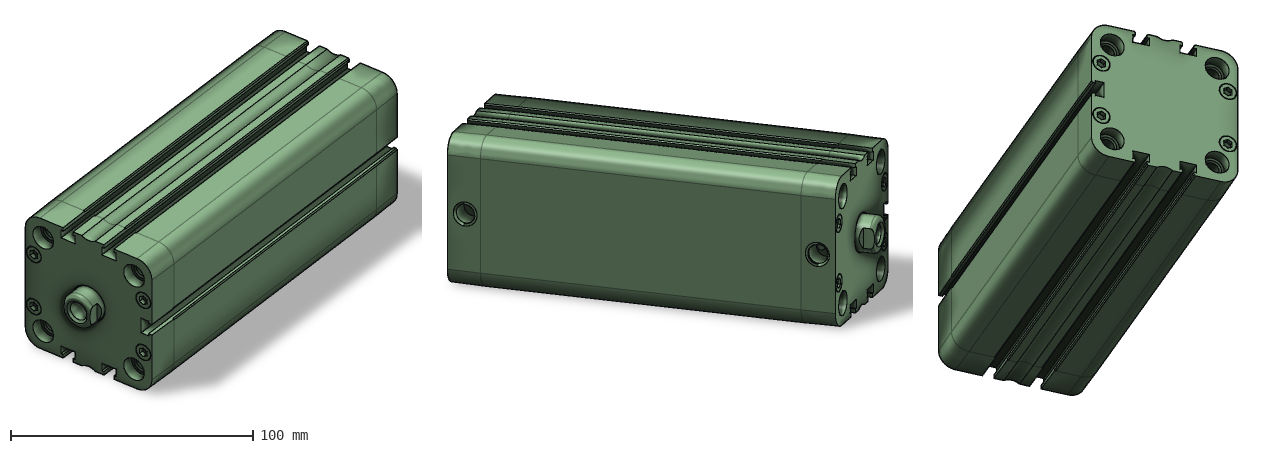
import cadquery as cq
import math


barrel_width = 65.5
housing_length = 170.0
front_cap_length = 15.0
rear_cap_length = 14.6
corner_radius = 7.8
cap_draft = 0.21
barrel_half = barrel_width / 2
barrel_length = housing_length - front_cap_length - rear_cap_length
rear_joint_y = housing_length - rear_cap_length

slot_offset = 10.5
slot_opening = 5.2
slot_width = 7.3
slot_depth = 5.7
slot_lip = 2.0
slot_edge_chamfer = 0.5
groove_width = 7.0
groove_depth = 1.0

mount_offset = 23.3
mount_diameter = 6.5
mount_chamfer = 0.7
mount_counterbore = 10.5
mount_counterbore_depth = 5.3

screw_x = 28.1
screw_z = 13.0
screw_recess = 7.7
screw_head = 7.3
screw_gap_depth = 0.9
socket_corners = 4.3
socket_depth = 2.1

port_to_end_face = 7.8
port_diameter = 8.4
port_mouth = 10.5
port_depth = 10.7
port_chamfer = (port_mouth - port_diameter) / 2
channel_diameter = 3.5
channel_shift = 2.1
channel_depth = 5.3

rod_diameter = 16.0
rod_protrusion = 8.0
rod_inner_length = front_cap_length
rod_tip_fillet = 2.0
rod_seat_chamfer = 0.5
flat_width = 13.4
flat_length = 5.0
thread_diameter = 8.4
thread_mouth = 10.5
thread_depth = 17.8
thread_bottom_flat = 3.5
thread_bottom_length = 1.5
thread_chamfer = (thread_mouth - thread_diameter) / 2


def xz_plane(y):
    """Plane across the cylinder axis at y, with local x = X, local y = Z and normal -Y."""
    return cq.Workplane("XZ", origin=(0, y, 0))


def t_slot(offset, length):
    """Cutter for a T-slot in the top, running from y = 0 to -length."""
    opening = xz_plane(0).center(offset, barrel_half - slot_depth / 2).rect(slot_opening, slot_depth)
    undercut_center = barrel_half - (slot_lip + slot_depth) / 2
    undercut = xz_plane(0).center(offset, undercut_center).rect(slot_width, slot_depth - slot_lip)
    return opening.extrude(length).union(undercut.extrude(length))


def follow_surface(outline, length, draft):
    """Cutter along the top surface: an outline at y = 0 that sinks by draft on its way to -length."""
    start = outline.wire().val()
    end = start.translate(cq.Vector(0, -length, -draft))
    return cq.Workplane(cq.Solid.makeLoft([start, end], True))


def slot_edge_outline(offset):
    """Flared mouth that chamfers both edges of a slot opening."""
    half_opening = slot_opening / 2
    half_mouth = half_opening + slot_edge_chamfer
    bottom = barrel_half - slot_edge_chamfer
    return xz_plane(0).polyline([
        (offset - half_mouth, barrel_half),
        (offset - half_opening, bottom),
        (offset + half_opening, bottom),
        (offset + half_mouth, barrel_half),
    ]).close()


def groove_outline():
    return (
        xz_plane(0)
        .moveTo(-groove_width / 2, barrel_half)
        .threePointArc((0, barrel_half - groove_depth), (groove_width / 2, barrel_half))
        .close()
    )


def profile_section(length, draft, chamfered_slots):
    """Length of the housing profile from y = 0 to -length, its outer faces drawn in by draft."""
    square = cq.Sketch().rect(barrel_width, barrel_width).vertices().fillet(corner_radius)
    taper = math.degrees(math.atan(draft / length))
    section = xz_plane(0).placeSketch(square).extrude(length, taper=taper)

    for offset, angle in (
        (-slot_offset, 0), (slot_offset, 0), (-slot_offset, 180), (slot_offset, 180), (0, 90),
    ):
        slot = t_slot(offset, length)
        if chamfered_slots:
            slot = slot.union(follow_surface(slot_edge_outline(offset), length, draft))
        section = section.cut(slot.rotate((0, 0, 0), (0, 1, 0), angle))

    groove = follow_surface(groove_outline(), length, draft)
    return section.cut(groove).cut(groove.mirror("XY"))


def chamfer_cone(mouth_center, direction, hole_diameter, chamfer):
    """Cutter for a 45-degree chamfer at the mouth of a hole that runs along direction."""
    return cq.Workplane(cq.Solid.makeCone(
        hole_diameter / 2 + chamfer, hole_diameter / 2, chamfer,
        cq.Vector(*mouth_center), cq.Vector(*direction),
    ))


def both_ends(front_cutter):
    """A front cutter together with its mirror image at the rear face."""
    return front_cutter.union(front_cutter.mirror("XZ", (0, housing_length / 2, 0)))


def mounting_hole_cutter():
    corners = [(x, z) for x in (-mount_offset, mount_offset) for z in (-mount_offset, mount_offset)]
    through = xz_plane(housing_length).pushPoints(corners).circle(mount_diameter / 2).extrude(housing_length)
    mouths = xz_plane(0).pushPoints(corners).circle(mount_counterbore / 2)
    mouths = mouths.extrude(-mount_counterbore_depth)
    for x, z in corners:
        mouths = mouths.union(chamfer_cone(
            (x, mount_counterbore_depth, z), (0, 1, 0), mount_diameter, mount_chamfer,
        ))
    return through.union(both_ends(mouths))


def screw_cutter():
    centers = [(x, z) for x in (-screw_x, screw_x) for z in (-screw_z, screw_z)]
    gaps = xz_plane(0).pushPoints(centers).circle(screw_recess / 2).circle(screw_head / 2)
    cutter = gaps.extrude(-screw_gap_depth)
    socket = xz_plane(0).transformed(rotate=(0, 0, 90)).polygon(6, socket_corners)
    socket = socket.extrude(-socket_depth)
    for x, z in centers:
        cutter = cutter.union(socket.translate((x, 0, z)))
    return both_ends(cutter)


def port_cutter(port_y, channel_y):
    """Chamfered blind port in the -X side, with a narrow air channel in its floor."""
    face_x = -barrel_half
    bore = cq.Workplane("YZ", origin=(face_x, port_y, 0)).circle(port_diameter / 2).extrude(port_depth)
    mouth = chamfer_cone((face_x + cap_draft / 2, port_y, 0), (1, 0, 0), port_diameter, port_chamfer)
    channel = (
        cq.Workplane("YZ", origin=(face_x + port_depth, channel_y, 0))
        .circle(channel_diameter / 2)
        .extrude(channel_depth)
    )
    return bore.union(mouth).union(channel)


def rod_seat_cutter():
    seat = xz_plane(0).circle(rod_diameter / 2).extrude(-rod_inner_length)
    return seat.union(chamfer_cone((0, 0, 0), (0, 1, 0), rod_diameter, rod_seat_chamfer))


def make_housing():
    front_cap = profile_section(front_cap_length, cap_draft, chamfered_slots=False)
    barrel = profile_section(barrel_length, 0, chamfered_slots=True)
    rear_cap = profile_section(rear_cap_length, cap_draft, chamfered_slots=True).mirror("XZ")
    body = barrel.translate((0, rear_joint_y, 0))
    body = body.union(front_cap.translate((0, front_cap_length, 0)))
    body = body.union(rear_cap.translate((0, rear_joint_y, 0)))
    body = body.cut(mounting_hole_cutter()).cut(screw_cutter())
    front_port_y = port_to_end_face
    rear_port_y = housing_length - port_to_end_face
    body = body.cut(port_cutter(front_port_y, front_port_y + channel_shift))
    body = body.cut(port_cutter(rear_port_y, rear_port_y - channel_shift))
    return body.cut(rod_seat_cutter())


def threaded_hole_cutter():
    """Chamfered bore in the rod tip with a conical, flat-ended bottom."""
    hole = xz_plane(-rod_protrusion).circle(thread_diameter / 2).extrude(-thread_depth)
    bottom = cq.Solid.makeCone(
        thread_diameter / 2, thread_bottom_flat / 2, thread_bottom_length,
        cq.Vector(0, thread_depth - rod_protrusion, 0), cq.Vector(0, 1, 0),
    )
    mouth = chamfer_cone((0, -rod_protrusion, 0), (0, 1, 0), thread_diameter, thread_chamfer)
    return hole.union(cq.Workplane(bottom)).union(mouth)


def wrench_flat_cutter():
    """Cutter for the flat on the +X side; the flat runs out at 45 degrees."""
    flat_x = flat_width / 2
    rod_radius = rod_diameter / 2
    flat_end_y = flat_length - rod_protrusion
    return (
        cq.Workplane("XY")
        .moveTo(flat_x, -rod_protrusion)
        .lineTo(flat_x, flat_end_y)
        .lineTo(rod_radius, flat_end_y + rod_radius - flat_x)
        .lineTo(rod_radius, -rod_protrusion)
        .close()
        .extrude(rod_radius, both=True)
    )


def make_rod():
    rod = xz_plane(rod_inner_length).circle(rod_diameter / 2).extrude(rod_inner_length + rod_protrusion)
    rod = rod.faces("<Y").edges().fillet(rod_tip_fillet)
    flat = wrench_flat_cutter()
    rod = rod.cut(flat).cut(flat.mirror("YZ"))
    return rod.cut(threaded_hole_cutter())


housing = make_housing()
piston_rod = make_rod()
result = cq.Compound.makeCompound([housing.val(), piston_rod.val()])